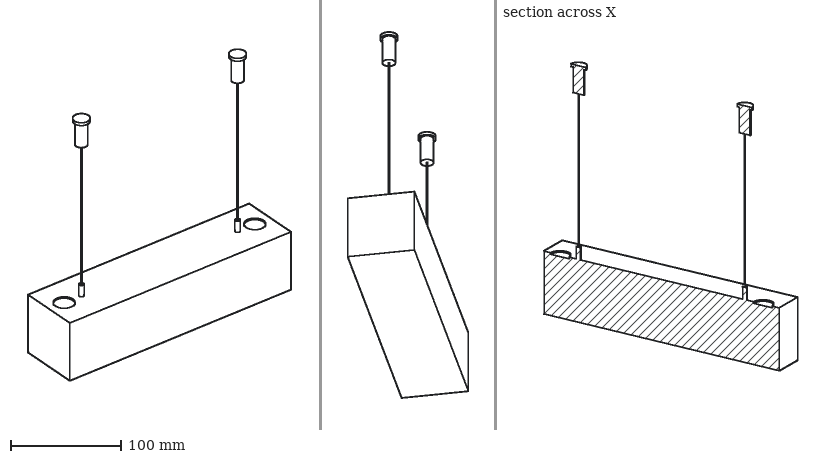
import cadquery as cq

body_width = 62.0
body_length = 255.0
body_height = 62.0

recess_diameter = 20.0
recess_depth = 1.5
recess_end_distance = 17.5

total_height = 251.7
suspension_spacing = 180.0
ferrule_diameter = 4.8
ferrule_height = 12.0
wire_diameter = 1.2
mount_diameter = 12.0
mount_height = 28.0
flange_diameter = 16.0
flange_thickness = 3.0

mount_bottom = total_height - mount_height
flange_bottom = total_height - flange_thickness


def upright_cylinder(diameter, y, bottom, top):
    """Vertical cylinder on the X = 0 plane between two heights."""
    return cq.Workplane("XY", origin=(0, y, bottom)).circle(diameter / 2).extrude(top - bottom)


def suspension(y):
    """Ferrule on the body, wire above it, and flanged ceiling mount."""
    ferrule_top = body_height + ferrule_height
    ferrule = upright_cylinder(ferrule_diameter, y, body_height, ferrule_top)
    wire = upright_cylinder(wire_diameter, y, ferrule_top, mount_bottom)
    mount = upright_cylinder(mount_diameter, y, mount_bottom, flange_bottom)
    flange = upright_cylinder(flange_diameter, y, flange_bottom, total_height)
    return ferrule.union(wire).union(mount).union(flange)


result = cq.Workplane("XY").box(body_width, body_length, body_height, centered=(True, True, False))

for side in (-1, 1):
    recess_y = side * (body_length / 2 - recess_end_distance)
    recess_floor = body_height - recess_depth
    result = result.cut(upright_cylinder(recess_diameter, recess_y, recess_floor, body_height))
    result = result.union(suspension(side * suspension_spacing / 2))